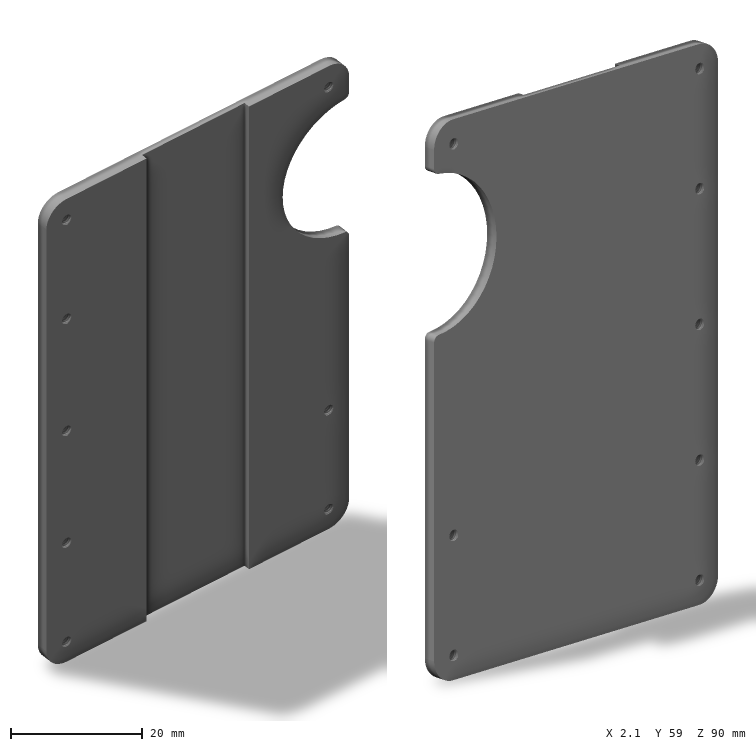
import cadquery as cq
import math

thickness = 2.1
width = 59.0
height = 90.0
corner_radius = 4.0
back_x = -thickness / 2
front_x = thickness / 2

notch_radius = 13.0
notch_center_z = 24.0
lip_radius = 1.0

channel_width = 20.0
channel_depth = 1.1

minor_radius = 1.6 / 2
major_radius = 2.1 / 2
thread_pitch = 0.4
thread_angle = 60.0
thread_start_angle = 270.0
root_half_width = thread_pitch / 16
bore_overlap = 0.045

hole_inset = corner_radius
inner_hole_z = 21.8
hole_y = width / 2 - hole_inset
corner_hole_z = height / 2 - hole_inset
long_row = [(-hole_y, z) for z in (-corner_hole_z, -inner_hole_z, 0, inner_hole_z, corner_hole_z)]
short_row = [(hole_y, z) for z in (-corner_hole_z, -inner_hole_z, corner_hole_z)]


def make_plate():
    """Plain plate with four rounded corners."""
    return cq.Workplane("XY").box(thickness, width, height).edges("|X").fillet(corner_radius)


def cut_notch(plate):
    """Cut the half circle from the +Y edge and round the two corners it leaves."""
    cutter = (
        cq.Workplane("YZ", origin=(back_x, 0, 0))
        .center(width / 2, notch_center_z)
        .circle(notch_radius)
        .extrude(thickness)
    )
    lip_reach = notch_radius + lip_radius
    lip_zone = cq.selectors.BoxSelector(
        (back_x, width / 2 - lip_radius, notch_center_z - lip_reach),
        (front_x, width / 2 + lip_radius, notch_center_z + lip_reach),
    )
    return plate.cut(cutter).edges("|X").edges(lip_zone).fillet(lip_radius)


def cut_channel(plate):
    """Cut the full-height channel into the +X face."""
    channel = (
        cq.Workplane("XY")
        .box(channel_depth, channel_width, height)
        .translate((front_x - channel_depth / 2, 0, 0))
    )
    return plate.cut(channel)


def make_threaded_bore():
    """Solid in the shape of one threaded hole, along X through the plate thickness."""
    groove_base = minor_radius - bore_overlap
    flank_slope = math.tan(math.radians(thread_angle / 2))
    base_half_width = root_half_width + (major_radius - groove_base) * flank_slope
    helix = cq.Wire.makeHelix(thread_pitch, thickness + 2 * thread_pitch, minor_radius)
    groove = (
        cq.Workplane("XZ")
        .polyline(
            [
                (groove_base, -base_half_width),
                (major_radius, -root_half_width),
                (major_radius, root_half_width),
                (groove_base, base_half_width),
            ]
        )
        .close()
        .sweep(cq.Workplane(helix), isFrenet=True)
        .translate((0, 0, -thread_pitch))
        .rotate((0, 0, 0), (0, 0, 1), thread_start_angle)
    )
    envelope = cq.Workplane("XY").circle(2 * major_radius).extrude(thickness)
    bore = cq.Workplane("XY").circle(minor_radius).extrude(thickness)
    threaded_bore = bore.union(groove.intersect(envelope))
    return threaded_bore.rotate((0, 0, 0), (0, 1, 0), 90).translate((back_x, 0, 0))


def cut_holes(plate):
    """Cut a threaded hole at every screw position."""
    threaded_bore = make_threaded_bore()
    for y, z in long_row + short_row:
        plate = plate.cut(threaded_bore.translate((0, y, z)))
    return plate


result = cut_holes(cut_channel(cut_notch(make_plate()))).solids()